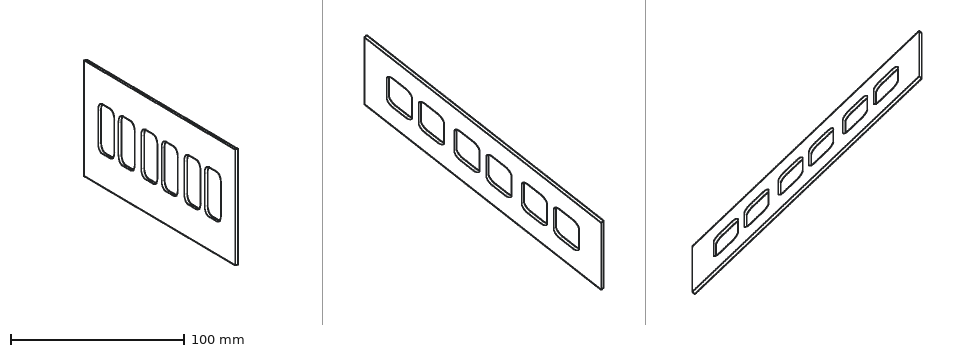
import cadquery as cq

plate_length = 187.5
plate_thickness = 2.0
plate_height = 70.3

window_width = 20.0
window_height = 30.0
corner_radius = 5.0
pair_count = 3
pair_pitch = 53.5
pitch_within_pair = 25.3


def window_centres():
    """Window centres along X, symmetric about the middle of the plate."""
    centres = []
    for index in range(pair_count):
        pair_centre = (index - (pair_count - 1) / 2) * pair_pitch
        for side in (-1, 1):
            centres.append((pair_centre + side * pitch_within_pair / 2, 0))
    return centres


def make_windows():
    """Cutters that pass through the full plate thickness."""
    return (
        cq.Workplane("XZ")
        .pushPoints(window_centres())
        .rect(window_width, window_height)
        .extrude(plate_thickness, both=True)
        .edges("|Y")
        .fillet(corner_radius)
    )


plate = cq.Workplane("XY").box(plate_length, plate_thickness, plate_height)
result = plate.cut(make_windows())